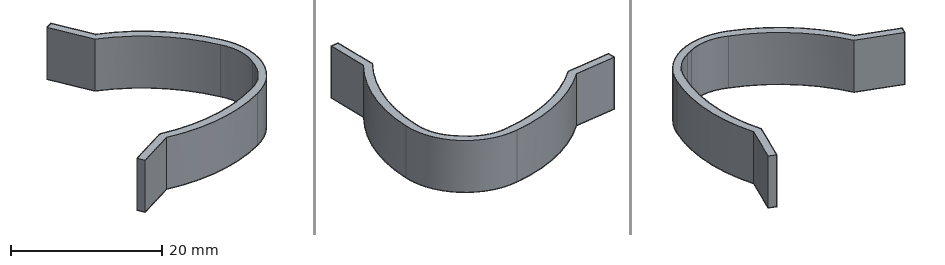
import cadquery as cq
import math

span = 37.6
depth = 23.9
width = 8.0
thickness = 1.2
side_radius = 25.0
outer_crown_radius = 10.0
outer_join_x = 7.37
outer_foot_x = 14.15
inner_flat_half = 0.53
inner_crown_radius = 7.35
inner_join_x = 6.1
inner_foot_x = 12.97


def crown_drop(radius, run):
    """Fall of a crown arc below its apex after a sideways run."""
    return radius - math.sqrt(radius**2 - run**2)


def arc_middle(start, end, radius):
    """Middle of an arc that bulges away from the strap's inside, on the right half."""
    dx = end[0] - start[0]
    dy = end[1] - start[1]
    chord = math.hypot(dx, dy)
    rise = crown_drop(radius, chord / 2)
    return (
        (start[0] + end[0]) / 2 - rise * dy / chord,
        (start[1] + end[1]) / 2 + rise * dx / chord,
    )


flange_end_offset = thickness / math.sqrt(2)
outer_tip = (span / 2, flange_end_offset - depth)
inner_tip = (span / 2 - flange_end_offset, -depth)
outer_foot = (outer_foot_x, outer_tip[1] + outer_tip[0] - outer_foot_x)
inner_foot = (inner_foot_x, inner_tip[1] + inner_tip[0] - inner_foot_x)

outer_apex = (0, 0)
outer_join = (outer_join_x, -crown_drop(outer_crown_radius, outer_join_x))
inner_apex = (0, -thickness)
inner_flat_end = (inner_flat_half, -thickness)
inner_join = (
    inner_join_x,
    -thickness - crown_drop(inner_crown_radius, inner_join_x - inner_flat_half),
)

right_half = (
    cq.Workplane("XY")
    .moveTo(*outer_apex)
    .threePointArc(arc_middle(outer_apex, outer_join, outer_crown_radius), outer_join)
    .threePointArc(arc_middle(outer_join, outer_foot, side_radius), outer_foot)
    .lineTo(*outer_tip)
    .lineTo(*inner_tip)
    .lineTo(*inner_foot)
    .threePointArc(arc_middle(inner_join, inner_foot, side_radius), inner_join)
    .threePointArc(arc_middle(inner_flat_end, inner_join, inner_crown_radius), inner_flat_end)
    .lineTo(*inner_apex)
    .close()
    .extrude(width)
)

result = right_half.union(right_half.mirror("YZ")).clean()